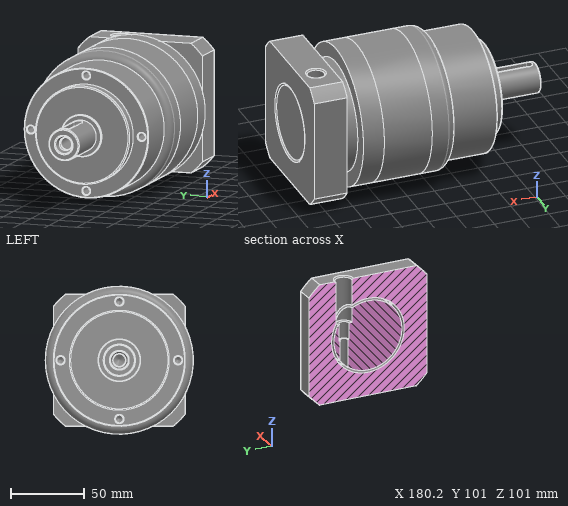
import cadquery as cq
import math


shoulder_start = 35.3
shoulder_end = 37.0
pilot_start = 37.5
flange_start = 45.8
round_end = 83.6
ring_gear_start = 95.9
rear_start = 131.0
neck_start = 146.3
plate_start = 156.0
plate_end = 180.2

shaft_diameter = 22.0
shoulder_diameter = 29.0
shoulder_step_diameter = 28.0
pilot_diameter = 68.1
flange_diameter = 90.0
case_diameter = 101.0
neck_diameter = 80.0
case_rounding = (case_diameter - flange_diameter) / 2

shaft_chamfer = 0.7
shoulder_chamfer = 0.4
pilot_chamfer = 0.9
flange_chamfer = 0.5

key_slot_start = 2.5
key_slot_length = 30.1
key_slot_width = 6.0
key_slot_depth = 3.5

centre_mouth_diameter = 13.5
centre_cone_diameter = 12.0
centre_bore_diameter = 9.0
centre_drill_diameter = 8.5
centre_mouth_depth = 0.5
centre_cone_end = 3.6
centre_bore_end = 6.5
centre_drill_end = 25.2

mount_count = 4
mount_circle_diameter = 80.0
mount_drill_diameter = 5.2
mount_mouth_diameter = 6.3
mount_depth = 12.6

drill_point_angle = 118.0

plate_width = 90.0
plate_corner_diameter = 116.0
plate_bore_diameter = 54.8

screw_y = 18.2
access_x = 168.3
access_diameter = 12.0
access_mouth_diameter = 14.0
access_chamfer = (access_mouth_diameter - access_diameter) / 2

hub_diameter = 51.9
hub_screw_x = 167.8
hub_length = 2 * (hub_screw_x - plate_start)
hub_seat_diameter = 12.0
hub_seat_z = 12.3
hub_clearance_diameter = 7.0
hub_tap_diameter = 5.5


def disc(diameter, start, end):
    """Cylinder about the X axis."""
    return cq.Workplane("YZ", origin=(start, 0, 0)).circle(diameter / 2).extrude(end - start)


def upright_cylinder(x, diameter, bottom, top):
    """Vertical cylinder on the screw line at Y = screw_y."""
    return cq.Workplane("XY", origin=(x, screw_y, bottom)).circle(diameter / 2).extrude(top - bottom)


def revolved(profile):
    """Turn an (x, radius) outline about the X axis."""
    return profile.close().revolve(360, (0, 0, 0), (1, 0, 0))


def drill_point(diameter):
    """Length of the conical bottom of a drilled hole."""
    return diameter / 2 / math.tan(math.radians(drill_point_angle / 2))


def make_shaft():
    shaft = disc(shaft_diameter, 0, shoulder_start).faces("<X").chamfer(shaft_chamfer)
    shoulder = disc(shoulder_diameter, shoulder_start, shoulder_end).faces("<X").chamfer(shoulder_chamfer)
    shoulder_step = disc(shoulder_step_diameter, shoulder_end, pilot_start)
    key_slot = (
        cq.Workplane("XY", origin=(key_slot_start + key_slot_length / 2, 0, shaft_diameter / 2))
        .slot2D(key_slot_length, key_slot_width)
        .extrude(-key_slot_depth)
    )
    centre_hole = revolved(
        cq.Workplane("XY")
        .lineTo(0, centre_mouth_diameter / 2)
        .lineTo(centre_mouth_depth, centre_cone_diameter / 2)
        .lineTo(centre_cone_end, centre_bore_diameter / 2)
        .lineTo(centre_bore_end, centre_bore_diameter / 2)
        .lineTo(centre_bore_end, centre_drill_diameter / 2)
        .lineTo(centre_drill_end, centre_drill_diameter / 2)
        .lineTo(centre_drill_end + drill_point(centre_drill_diameter), 0)
    )
    return shaft.union(shoulder).union(shoulder_step).cut(key_slot).cut(centre_hole)


def make_mount_hole(angle):
    mouth_depth = (mount_mouth_diameter - mount_drill_diameter) / 2
    hole = revolved(
        cq.Workplane("XY")
        .lineTo(0, mount_mouth_diameter / 2)
        .lineTo(mouth_depth, mount_drill_diameter / 2)
        .lineTo(mount_depth, mount_drill_diameter / 2)
        .lineTo(mount_depth + drill_point(mount_drill_diameter), 0)
    )
    placed = hole.translate((flange_start, mount_circle_diameter / 2, 0))
    return placed.rotate((0, 0, 0), (1, 0, 0), angle)


def make_front_housing():
    pilot = disc(pilot_diameter, pilot_start, flange_start).faces("<X").chamfer(pilot_chamfer)
    flange = disc(flange_diameter, flange_start, round_end).faces("<X").chamfer(flange_chamfer)
    round_start = round_end - case_rounding
    arc_inset = case_rounding * (1 - math.sqrt(0.5))
    case = revolved(
        cq.Workplane("XY")
        .moveTo(round_start, 0)
        .lineTo(round_start, flange_diameter / 2)
        .threePointArc(
            (round_start + arc_inset, case_diameter / 2 - arc_inset),
            (round_end, case_diameter / 2),
        )
        .lineTo(ring_gear_start, case_diameter / 2)
        .lineTo(ring_gear_start, 0)
    )
    housing = pilot.union(flange).union(case)
    for index in range(mount_count):
        housing = housing.cut(make_mount_hole(index * 360 / mount_count))
    return housing


def make_ring_gear():
    return disc(case_diameter, ring_gear_start, rear_start)


def make_rear_housing():
    rear = disc(case_diameter, rear_start, neck_start)
    neck = disc(neck_diameter, neck_start, plate_start)
    return rear.union(neck)


def make_motor_plate():
    plate_length = plate_end - plate_start
    square = (
        cq.Workplane("YZ", origin=(plate_start, 0, 0))
        .rect(plate_width, plate_width)
        .extrude(plate_length)
    )
    plate = square.intersect(disc(plate_corner_diameter, plate_start, plate_end))
    plate = plate.cut(disc(plate_bore_diameter, plate_start, plate_end))

    plate_top = plate_width / 2
    access_hole = upright_cylinder(access_x, access_diameter, 0, plate_top)
    access_mouth = cq.Workplane(
        cq.Solid.makeCone(
            access_diameter / 2,
            access_mouth_diameter / 2,
            access_chamfer,
            pnt=cq.Vector(access_x, screw_y, plate_top - access_chamfer),
        )
    )
    return plate.cut(access_hole).cut(access_mouth)


def make_clamping_hub():
    hub_radius = hub_diameter / 2
    hub = disc(hub_diameter, plate_start, plate_start + hub_length)
    screw_seat = upright_cylinder(hub_screw_x, hub_seat_diameter, hub_seat_z, hub_radius)
    clearance_hole = upright_cylinder(hub_screw_x, hub_clearance_diameter, 0, hub_radius)
    tapped_hole = upright_cylinder(hub_screw_x, hub_tap_diameter, -hub_radius, hub_radius)
    return hub.cut(screw_seat).cut(clearance_hole).cut(tapped_hole)


shaft = make_shaft()
front_housing = make_front_housing()
ring_gear = make_ring_gear()
rear_housing = make_rear_housing()
motor_plate = make_motor_plate()
clamping_hub = make_clamping_hub()

result = cq.Compound.makeCompound([
    shaft.val(),
    front_housing.val(),
    ring_gear.val(),
    rear_housing.val(),
    motor_plate.val(),
    clamping_hub.val(),
])